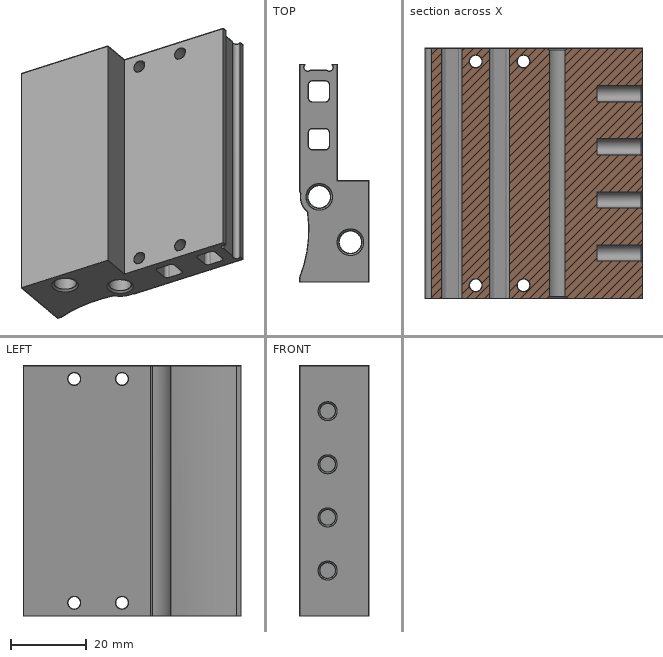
import cadquery as cq
import math

HEIGHT = 66.0
BLOCK_WIDTH = 18.3
BLOCK_LENGTH = 26.8
WEB_WIDTH = 10.0
TOTAL_LENGTH = 57.4

BORE_DIAMETER = 5.92
BORE_MOUTH_DIAMETER = 7.0
WEB_BORE = (5.2, 22.5)
BLOCK_BORE = (13.4, 10.55)

SHOULDER_RADIUS = 5.0
SHOULDER_START_Y = 23.4
SHOULDER_END_Y = 18.6
FLAT_SIDE_END_Y = 23.9
HOLLOW_START = (2.1, 18.4)
HOLLOW_MIDDLE = (2.2, 10.0)
HOLLOW_END_Y = 1.2

GROOVE_OPENING = 7.0
GROOVE_DEPTH = 1.5
GROOVE_ROUND_DIAMETER = 2.01

CHANNEL_SIZE = 5.5
CHANNEL_CORNER_RADIUS = 1.0
CHANNEL_X = 5.1
CHANNEL_YS = (37.7, 50.3)

CROSS_HOLE_DIAMETER = 3.3
CROSS_HOLE_YS = (31.4, 44.0)
CROSS_HOLE_END_DISTANCE = 3.5

FACE_HOLE_DIAMETER = 4.13
FACE_HOLE_MOUTH_DIAMETER = 5.0
FACE_HOLE_DEPTH = 12.0
FACE_HOLE_X = 7.4
FACE_HOLE_COUNT = 4
FACE_HOLE_PITCH = 14.0


def shoulder_point(y):
    """Point at position y on the -X half of the circle concentric with the web bore."""
    bore_x, bore_y = WEB_BORE
    return (bore_x - math.sqrt(SHOULDER_RADIUS**2 - (y - bore_y) ** 2), y)


def profile_body():
    """Outer profile, extruded to the full height."""
    shoulder_middle_y = (SHOULDER_START_Y + SHOULDER_END_Y) / 2
    return (
        cq.Workplane("XY")
        .moveTo(0, 0)
        .lineTo(BLOCK_WIDTH, 0)
        .lineTo(BLOCK_WIDTH, BLOCK_LENGTH)
        .lineTo(WEB_WIDTH, BLOCK_LENGTH)
        .lineTo(WEB_WIDTH, TOTAL_LENGTH)
        .lineTo(0, TOTAL_LENGTH)
        .lineTo(0, FLAT_SIDE_END_Y)
        .lineTo(*shoulder_point(SHOULDER_START_Y))
        .threePointArc(shoulder_point(shoulder_middle_y), shoulder_point(SHOULDER_END_Y))
        .lineTo(*HOLLOW_START)
        .threePointArc(HOLLOW_MIDDLE, (0, HOLLOW_END_Y))
        .close()
        .extrude(HEIGHT)
    )


def end_groove():
    """Shallow groove whose two bottom corners are widened by round grooves."""
    middle_x = WEB_WIDTH / 2
    round_y = TOTAL_LENGTH - GROOVE_DEPTH / 2
    radius = GROOVE_ROUND_DIAMETER / 2
    round_offset = GROOVE_OPENING / 2 - math.sqrt(radius**2 - (GROOVE_DEPTH / 2) ** 2)
    slot = (
        cq.Workplane("XY")
        .center(middle_x, round_y)
        .rect(2 * round_offset, GROOVE_DEPTH)
        .extrude(HEIGHT)
    )
    rounds = (
        cq.Workplane("XY")
        .pushPoints([(middle_x - round_offset, round_y), (middle_x + round_offset, round_y)])
        .circle(radius)
        .extrude(HEIGHT)
    )
    return slot.union(rounds)


def square_channels():
    """Rounded square channels running the full height of the web."""
    return (
        cq.Workplane("XY")
        .pushPoints([(CHANNEL_X, y) for y in CHANNEL_YS])
        .rect(CHANNEL_SIZE, CHANNEL_SIZE)
        .extrude(HEIGHT)
        .edges("|Z")
        .fillet(CHANNEL_CORNER_RADIUS)
    )


def mouth_depth(hole_diameter, mouth_diameter):
    """Depth of a countersink whose wall slopes at 45 degrees."""
    return (mouth_diameter - hole_diameter) / 2


def long_bore(center):
    """Through bore along Z, countersunk at both ends."""
    radius = BORE_DIAMETER / 2
    mouth_radius = BORE_MOUTH_DIAMETER / 2
    sink = mouth_depth(BORE_DIAMETER, BORE_MOUTH_DIAMETER)
    return (
        cq.Workplane("XZ")
        .polyline([
            (0, 0),
            (mouth_radius, 0),
            (radius, sink),
            (radius, HEIGHT - sink),
            (mouth_radius, HEIGHT),
            (0, HEIGHT),
        ])
        .close()
        .revolve(360, (0, 0), (0, 1))
        .translate((*center, 0))
    )


def cross_holes():
    """Holes along X through the web, near both Z ends."""
    zs = (CROSS_HOLE_END_DISTANCE, HEIGHT - CROSS_HOLE_END_DISTANCE)
    return (
        cq.Workplane("YZ")
        .pushPoints([(y, z) for y in CROSS_HOLE_YS for z in zs])
        .circle(CROSS_HOLE_DIAMETER / 2)
        .extrude(WEB_WIDTH)
    )


def face_hole(z):
    """Countersunk flat-bottomed hole entering the -Y face."""
    radius = FACE_HOLE_DIAMETER / 2
    mouth_radius = FACE_HOLE_MOUTH_DIAMETER / 2
    sink = mouth_depth(FACE_HOLE_DIAMETER, FACE_HOLE_MOUTH_DIAMETER)
    return (
        cq.Workplane("XY")
        .polyline([
            (0, 0),
            (mouth_radius, 0),
            (radius, sink),
            (radius, FACE_HOLE_DEPTH),
            (0, FACE_HOLE_DEPTH),
        ])
        .close()
        .revolve(360, (0, 0), (0, 1))
        .translate((FACE_HOLE_X, 0, z))
    )


result = profile_body().cut(end_groove()).cut(square_channels()).cut(cross_holes())

for bore_center in (WEB_BORE, BLOCK_BORE):
    result = result.cut(long_bore(bore_center))

for index in range(FACE_HOLE_COUNT):
    offset = (index - (FACE_HOLE_COUNT - 1) / 2) * FACE_HOLE_PITCH
    result = result.cut(face_hole(HEIGHT / 2 + offset))